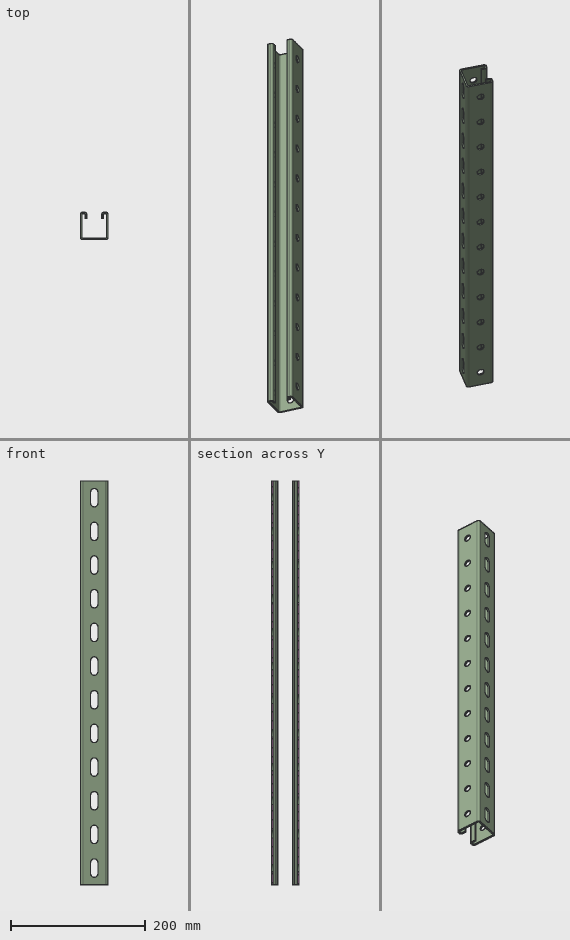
import cadquery as cq

WIDTH = 41.0
DEPTH = 41.0
LENGTH = 600.0

SHEET = 2.5
OPENING = 22.0
LIP_DEPTH = 9.5
OUTER_RADIUS = 3.5
INNER_RADIUS = OUTER_RADIUS - SHEET

PITCH = 50.0
SLOT_LENGTH = 27.0
SLOT_WIDTH = 10.5
SIDE_HOLE_DIAMETER = 10.5
SIDE_HOLE_OFFSET = 1.0

HALF_WIDTH = WIDTH / 2
HALF_DEPTH = DEPTH / 2
LIP_END_Y = HALF_DEPTH - LIP_DEPTH
ROW_COUNT = round(LENGTH / PITCH)
ROW_HEIGHTS = [(row - (ROW_COUNT - 1) / 2) * PITCH for row in range(ROW_COUNT)]


def bar(x_size, y_min, y_max):
    """Full-length bar, centred in X and Z, between two Y places."""
    block = cq.Workplane("XY").box(x_size, y_max - y_min, LENGTH)
    return block.translate((0, (y_min + y_max) / 2, 0))


def notched_bar(inset, corner_radius):
    """Bar lying inside the channel's outer skin by inset, notched from +Y to the lip ends.

    Its four +Y corners and two -Y corners are the sheet's bends.
    """
    y_limit = HALF_DEPTH - inset
    body = bar(WIDTH - 2 * inset, -y_limit, y_limit)
    notch = bar(OPENING + 2 * inset, LIP_END_Y, y_limit)
    body = body.cut(notch)
    body = body.faces(">Y").edges("|Z").fillet(corner_radius)
    return body.faces("<Y").edges("|Z").fillet(corner_radius)


def make_channel():
    """Bent sheet left between the outer and the inner skin."""
    return notched_bar(0, OUTER_RADIUS).cut(notched_bar(SHEET, INNER_RADIUS))


def make_web_slots():
    """Lengthwise slots through the web on the -Y side."""
    slots = cq.Workplane("XZ", origin=(0, -HALF_DEPTH + SHEET, 0))
    slots = slots.pushPoints([(0, height) for height in ROW_HEIGHTS])
    return slots.slot2D(SLOT_LENGTH, SLOT_WIDTH, angle=90).extrude(SHEET)


def make_side_holes():
    """Round holes running across X through both side walls."""
    holes = cq.Workplane("YZ", origin=(-HALF_WIDTH, 0, 0))
    holes = holes.pushPoints([(SIDE_HOLE_OFFSET, height) for height in ROW_HEIGHTS])
    return holes.circle(SIDE_HOLE_DIAMETER / 2).extrude(WIDTH)


result = make_channel().cut(make_web_slots()).cut(make_side_holes())